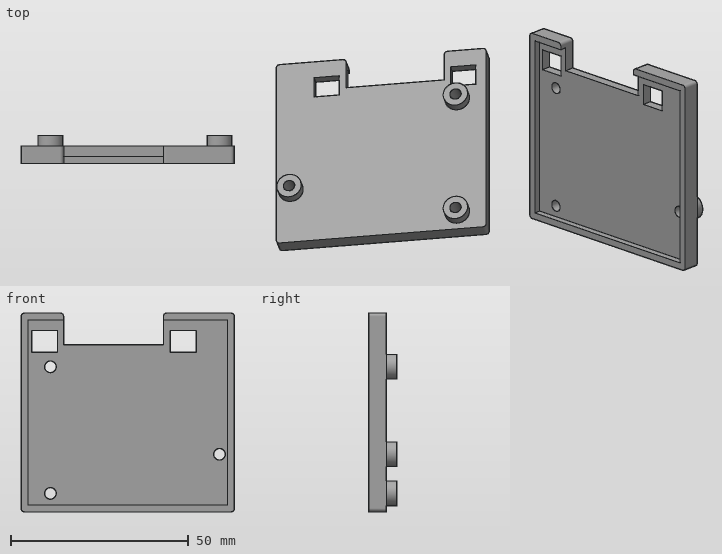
import cadquery as cq

width = 60.0
height = 56.0
wall = 2.0
floor_thickness = 3.0
pocket_depth = 2.0
body_depth = floor_thickness + pocket_depth
corner_radius = 1.0

notch_left = 12.0
notch_width = 28.0
notch_depth = 8.9

window_width = 7.2
window_height = 6.0
window_top_gap = 5.0
left_window_gap = 1.0
right_window_gap = 2.0
window_lefts = (wall + left_window_gap, notch_left + notch_width + right_window_gap)

standoff_diameter = 7.0
standoff_height = 3.0
hole_diameter = 3.2
left_hole_x = 8.25
right_hole_x = 55.8
bottom_hole_z = 5.25
middle_hole_z = 16.25
top_hole_z = 40.85
hole_centers = (
    (left_hole_x, bottom_hole_z),
    (left_hole_x, top_hole_z),
    (right_hole_x, middle_hole_z),
)


def block(left, bottom, size_x, size_z, front, depth):
    """Box given by its lower-left corner in XZ and its front Y position."""
    solid = cq.Workplane("XY").box(size_x, depth, size_z, centered=False)
    return solid.translate((left, front, bottom))


def cylinder(center, diameter, front, length):
    """Cylinder along +Y, centered at an XZ point and starting at the front Y position."""
    x, z = center
    axis = cq.Vector(0, 1, 0)
    return cq.Workplane(cq.Solid.makeCylinder(diameter / 2, length, cq.Vector(x, front, z), axis))


def make_body():
    """Plate with the top notch and rounded outer corners."""
    body = block(0, 0, width, height, 0, body_depth)
    notch = block(notch_left, height - notch_depth, notch_width, notch_depth, 0, body_depth)
    body = body.cut(notch)
    body = body.faces("<Z").edges("|Y").fillet(corner_radius)
    return body.faces(">Z").edges("|Y").fillet(corner_radius)


def cut_pocket(body):
    """Recess in the front face, leaving a wall all round."""
    pocket = block(wall, wall, width - 2 * wall, height - 2 * wall, 0, pocket_depth)
    return body.cut(pocket)


def cut_windows(body):
    """Two rectangular windows through the floor, on either side of the notch."""
    window_bottom = height - window_top_gap - window_height
    for left in window_lefts:
        body = body.cut(block(left, window_bottom, window_width, window_height, 0, body_depth))
    return body


def add_standoffs(body):
    """Round standoffs on the back, drilled through the plate."""
    for center in hole_centers:
        body = body.union(cylinder(center, standoff_diameter, body_depth, standoff_height))
        body = body.cut(cylinder(center, hole_diameter, 0, body_depth + standoff_height))
    return body


result = add_standoffs(cut_windows(cut_pocket(make_body())))